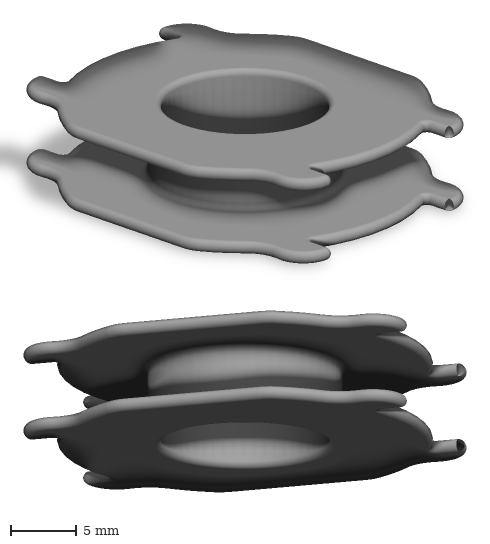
import cadquery as cq
import math

length = 30.8
width = 26.0
height = 7.0

flange_gap = 5.0
flange_thickness = (height - flange_gap) / 2
disc_radius = 14.4
blend_radius = 3.0
edge_radius = flange_thickness / 2
rim_disc_radius = disc_radius - edge_radius

ear_radius = 2.7
ear_underside_y = 6.47
notch_radius = 0.3
ear_center = (length / 2 - ear_radius, ear_underside_y + edge_radius)

hub_diameter = 14.9
bore_diameter = 12.9
hub_fillet = 0.5
bore_fillet = 0.5


def meeting_point(center, distance, radius):
    """Outer point at a distance from the origin and a radius from a center, nearer the Y axis."""
    center_distance = math.hypot(*center)
    cosine = (distance**2 + center_distance**2 - radius**2) / (2 * distance * center_distance)
    angle = math.atan2(center[1], center[0]) + math.acos(cosine)
    return distance * math.cos(angle), distance * math.sin(angle)


def point_toward(start, target, distance):
    """Point at a distance from start on the line toward target."""
    share = distance / math.dist(start, target)
    return tuple(s + share * (t - s) for s, t in zip(start, target))


def quadrant_path():
    """Points of the rim center line in the +X +Y quadrant, and the arc radius between them.

    The path runs counterclockwise. A positive radius curves into the flange,
    a negative one bulges outward, and None is a straight stretch.
    """
    origin = (0, 0)

    notch_y = ear_underside_y - notch_radius
    notch_x = math.sqrt((disc_radius + notch_radius) ** 2 - notch_y**2)
    notch_start = point_toward(origin, (notch_x, notch_y), rim_disc_radius)
    notch_end = (notch_x, ear_center[1])

    ear_tip = (length / 2 - edge_radius, ear_center[1])
    root_center = meeting_point(ear_center, disc_radius + blend_radius, ear_radius + blend_radius)
    root_start = point_toward(ear_center, root_center, ear_radius - edge_radius)
    root_end = point_toward(origin, root_center, rim_disc_radius)

    corner_y = width / 2 - blend_radius
    corner_x = math.sqrt((disc_radius - blend_radius) ** 2 - corner_y**2)
    corner_start = point_toward(origin, (corner_x, corner_y), rim_disc_radius)
    flat_start = (corner_x, width / 2 - edge_radius)

    points = [notch_start, notch_end, ear_tip, root_start, root_end, corner_start, flat_start]
    radii = [
        notch_radius + edge_radius,
        None,
        -(ear_radius - edge_radius),
        blend_radius + edge_radius,
        -rim_disc_radius,
        -(blend_radius - edge_radius),
    ]
    return points, radii


def make_rim_line():
    """Closed center line of the rounded rim, one edge radius inside the flange outline."""
    points, radii = quadrant_path()
    line = cq.Workplane("XY", origin=(0, 0, edge_radius)).moveTo(*points[-1])
    for x_side, y_side in ((-1, 1), (-1, -1), (1, -1), (1, 1)):
        from_disc = x_side == y_side
        step = 1 if from_disc else -1
        corners = [(x_side * x, y_side * y) for x, y in points[::step]]
        entry_radius = -rim_disc_radius if from_disc else None
        for corner, radius in zip(corners, [entry_radius] + radii[::step]):
            if radius is None:
                line = line.lineTo(*corner)
            else:
                line = line.radiusArc(corner, radius)
    return line.wire()


def make_flange():
    """Flat core with a round bar along its edge as the rim."""
    rim_line = make_rim_line()
    core = make_rim_line().extrude(edge_radius, both=True)
    start_plane = cq.Plane(rim_line.val().startPoint(), normal=rim_line.val().tangentAt(0))
    rim = cq.Workplane(start_plane).circle(edge_radius).sweep(rim_line, transition="round")
    return core.union(rim)


def make_hub():
    """Hub flaring into both flanges with a fillet at each end."""
    hub_radius = hub_diameter / 2
    flare_radius = hub_radius + hub_fillet
    bottom = flange_thickness
    top = height - flange_thickness
    arc_start = (hub_radius, bottom + hub_fillet)
    arc_end = (hub_radius, top - hub_fillet)
    return (
        cq.Workplane("XZ")
        .moveTo(0, 0)
        .lineTo(flare_radius, 0)
        .lineTo(flare_radius, bottom)
        .radiusArc(arc_start, hub_fillet)
        .lineTo(*arc_end)
        .radiusArc((flare_radius, top), hub_fillet)
        .lineTo(flare_radius, height)
        .lineTo(0, height)
        .close()
        .revolve(360, (0, 0, 0), (0, 1, 0))
    )


def make_bore():
    """Through bore widening in a rounded mouth at each end."""
    bore_radius = bore_diameter / 2
    mouth_radius = bore_radius + bore_fillet
    return (
        cq.Workplane("XZ")
        .moveTo(0, 0)
        .lineTo(mouth_radius, 0)
        .radiusArc((bore_radius, bore_fillet), bore_fillet)
        .lineTo(bore_radius, height - bore_fillet)
        .radiusArc((mouth_radius, height), bore_fillet)
        .lineTo(0, height)
        .close()
        .revolve(360, (0, 0, 0), (0, 1, 0))
    )


lower_flange = make_flange()
upper_flange = lower_flange.translate((0, 0, height - flange_thickness))
spool = lower_flange.union(upper_flange).union(make_hub())
result = spool.cut(make_bore())